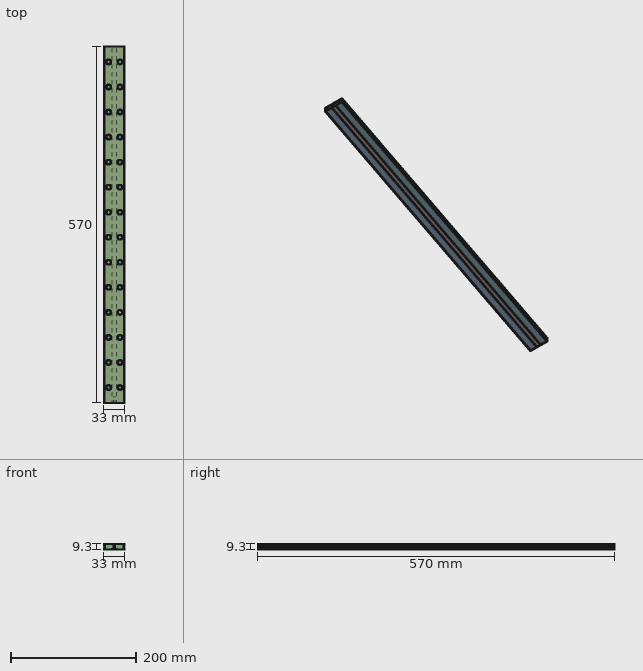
import cadquery as cq

width = 33.0
length = 570.0
height = 9.3
half_width = width / 2
half_length = length / 2
top_z = height / 2
base_z = -height / 2

top_chamfer = 0.92
base_chamfer = 0.5

groove_depth = 1.7
groove_mouth_low_z = base_z + 1.9
groove_mouth_high_z = base_z + 6.55
groove_floor_low_z = base_z + 3.45
groove_floor_high_z = base_z + 5.75
groove_floor_x = half_width - groove_depth

relief_width = 7.5
relief_depth = 0.3

hole_diameter = 7.5
cap_recess = 0.1
hole_count = 14
hole_pitch = 40.0
row_spacing = 18.0

end_bore_diameter = 2.5
end_bore_depth = 10.0


def make_grooved_bar():
    right_side = [
        (half_width - base_chamfer, base_z),
        (half_width, base_z + base_chamfer),
        (half_width, groove_mouth_low_z),
        (groove_floor_x, groove_floor_low_z),
        (groove_floor_x, groove_floor_high_z),
        (half_width, groove_mouth_high_z),
        (half_width, top_z - top_chamfer),
        (half_width - top_chamfer, top_z),
    ]
    left_side = [(-x, z) for x, z in reversed(right_side)]
    return (
        cq.Workplane("XZ")
        .polyline(right_side + left_side)
        .close()
        .extrude(half_length, both=True)
    )


def make_base_relief():
    return cq.Workplane("XY", origin=(0, 0, base_z)).box(
        relief_width, length, relief_depth, centered=(True, True, False)
    )


def make_hole_recesses():
    return (
        cq.Workplane("XY", origin=(0, 0, top_z - cap_recess))
        .rarray(row_spacing, hole_pitch, 2, hole_count)
        .circle(hole_diameter / 2)
        .extrude(cap_recess)
    )


def make_end_bore():
    return (
        cq.Workplane("XZ", origin=(0, -half_length, 0))
        .circle(end_bore_diameter / 2)
        .extrude(-end_bore_depth)
    )


result = (
    make_grooved_bar()
    .cut(make_base_relief())
    .cut(make_hole_recesses())
    .cut(make_end_bore())
)